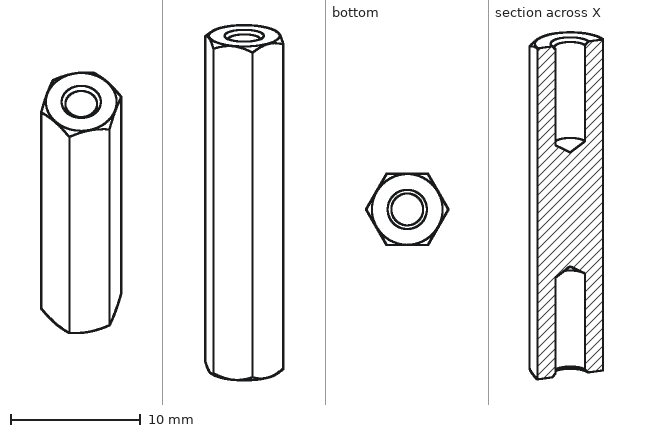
import cadquery as cq
import math

length = 27.0
across_flats = 5.5
across_corners = across_flats / math.cos(math.radians(30))

end_face_diameter = 5.45
corner_chamfer_angle = 40.0

hole_diameter = 2.45
hole_depth = 8.1
drill_point_angle = 118.0
mouth_diameter = 3.02
countersink_depth = (mouth_diameter - hole_diameter) / 2


def make_body():
    """Hexagonal bar with its corners turned down at both ends."""
    hexagon = cq.Workplane("XY").polygon(6, across_corners).extrude(length)
    corner_radius = across_corners / 2
    face_radius = end_face_diameter / 2
    drop = (corner_radius - face_radius) * math.tan(math.radians(corner_chamfer_angle))
    turned_envelope = (
        cq.Workplane("XZ")
        .moveTo(0, 0)
        .lineTo(face_radius, 0)
        .lineTo(corner_radius, drop)
        .lineTo(corner_radius, length - drop)
        .lineTo(face_radius, length)
        .lineTo(0, length)
        .close()
        .revolve(360, (0, 0, 0), (0, 1, 0))
    )
    return hexagon.intersect(turned_envelope)


def make_top_hole():
    """Countersunk blind hole with a drill point, opening at the top face."""
    radius = hole_diameter / 2
    tip_depth = radius / math.tan(math.radians(drill_point_angle / 2))
    return (
        cq.Workplane("XZ")
        .moveTo(0, length)
        .lineTo(mouth_diameter / 2, length)
        .lineTo(radius, length - countersink_depth)
        .lineTo(radius, length - hole_depth)
        .lineTo(0, length - hole_depth - tip_depth)
        .close()
        .revolve(360, (0, 0, 0), (0, 1, 0))
    )


top_hole = make_top_hole()
bottom_hole = top_hole.mirror("XY", (0, 0, length / 2))
result = make_body().cut(top_hole).cut(bottom_hole)